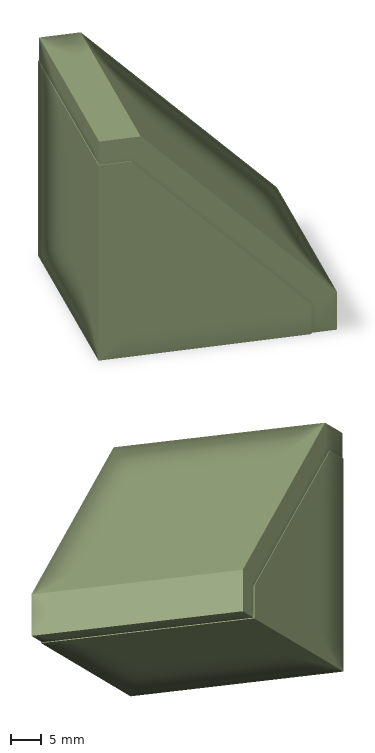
import cadquery as cq

cover_width = 38.0
overall_size = 40.3
cover_reach = 36.0
cover_edge = 5.5
core_edge = 7.0
step = 0.15

core_width = cover_width - 2 * step


def bevelled_corner(width, start, reach, edge):
    """Prism along X: a square corner cut off by a diagonal between two narrow ends."""
    return (
        cq.Workplane("YZ")
        .polyline([
            (start, start),
            (reach, start),
            (reach, start + edge),
            (start + edge, reach),
            (start, reach),
        ])
        .close()
        .extrude(width / 2, both=True)
    )


cover = bevelled_corner(cover_width, 0, cover_reach, cover_edge)

core = bevelled_corner(core_width, step, overall_size, core_edge)

result = cover.union(core)